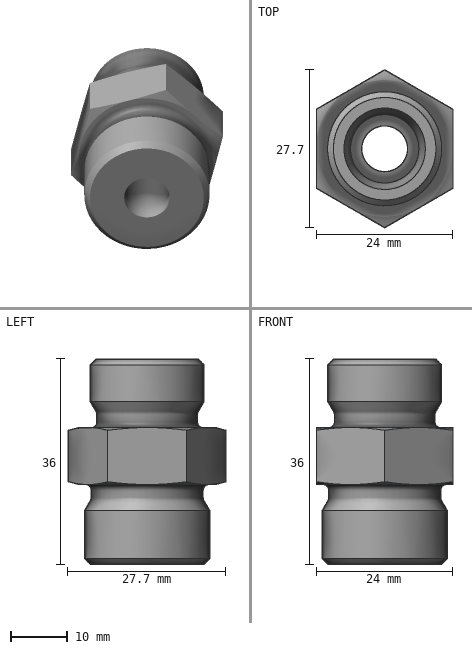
import cadquery as cq
import math

across_flats = 24.0
hex_bottom = 14.0
hex_top = 24.0
hex_chamfer_angle = 15
hex_half_sector = 30

total_height = 36
end_chamfer = 1.0
lower_diameter = 22.0
lower_groove_diameter = 19.7
lower_shoulder = 9.45
upper_diameter = 20.0
upper_groove_diameter = 17.7
upper_shoulder = 28.6
relief_half_angle = 30
relief_blend_radius = 1.0

lower_fillet = 1.0
upper_fillet = 0.9

bore_diameter = 8.0
seat_diameter = 12.0
mouth_diameter = 14.3
seat_half_angle = 12
seat_depth = 7.5


def make_hexagon():
    """Hexagon with flats facing X and its corners turned off at both ends."""
    corner_radius = across_flats / 2 / math.cos(math.radians(hex_half_sector))
    flat_radius = across_flats / 2
    drop = (corner_radius - flat_radius) * math.tan(math.radians(hex_chamfer_angle))
    prism = (
        cq.Workplane("XY")
        .workplane(offset=hex_bottom)
        .polygon(6, 2 * corner_radius)
        .extrude(hex_top - hex_bottom)
        .rotate((0, 0, 0), (0, 0, 1), hex_half_sector)
    )
    turned_envelope = (
        cq.Workplane("XZ")
        .moveTo(0, hex_bottom)
        .lineTo(flat_radius, hex_bottom)
        .lineTo(corner_radius, hex_bottom + drop)
        .lineTo(corner_radius, hex_top - drop)
        .lineTo(flat_radius, hex_top)
        .lineTo(0, hex_top)
        .close()
        .revolve(360, (0, 0, 0), (0, 1, 0))
    )
    return prism.intersect(turned_envelope)


def make_end(face, toward_hex, hex_face, shoulder, diameter, groove_diameter, fillet):
    """Turned end; toward_hex is +1 or -1 along Z from its outer face to the hexagon."""
    radius = diameter / 2
    groove_radius = groove_diameter / 2
    diagonal = fillet * (1 - math.sqrt(0.5))
    slope = math.radians(relief_half_angle)

    groove_start = shoulder + toward_hex * (radius - groove_radius) / math.tan(slope)
    tangent_length = relief_blend_radius * math.tan(slope / 2)
    blend_start_radius = groove_radius + tangent_length * math.sin(slope)
    blend_start_z = groove_start - toward_hex * tangent_length * math.cos(slope)
    blend_end_z = groove_start + toward_hex * tangent_length
    blend_middle_radius = groove_radius + relief_blend_radius * (1 - math.cos(slope / 2))
    blend_middle_z = blend_end_z - toward_hex * relief_blend_radius * math.sin(slope / 2)

    return (
        cq.Workplane("XZ")
        .moveTo(0, face)
        .lineTo(radius - end_chamfer, face)
        .lineTo(radius, face + toward_hex * end_chamfer)
        .lineTo(radius, shoulder)
        .lineTo(blend_start_radius, blend_start_z)
        .threePointArc((blend_middle_radius, blend_middle_z), (groove_radius, blend_end_z))
        .lineTo(groove_radius, hex_face - toward_hex * fillet)
        .threePointArc(
            (groove_radius + diagonal, hex_face - toward_hex * diagonal),
            (groove_radius + fillet, hex_face),
        )
        .lineTo(0, hex_face)
        .close()
        .revolve(360, (0, 0, 0), (0, 1, 0))
    )


def make_bore():
    """Through bore opening into a stepped tube seat with a conical mouth."""
    seat_radius = seat_diameter / 2
    mouth_radius = mouth_diameter / 2
    cone_depth = (mouth_radius - seat_radius) / math.tan(math.radians(seat_half_angle))
    return (
        cq.Workplane("XZ")
        .lineTo(bore_diameter / 2, 0)
        .lineTo(bore_diameter / 2, total_height - seat_depth)
        .lineTo(seat_radius, total_height - seat_depth)
        .lineTo(seat_radius, total_height - cone_depth)
        .lineTo(mouth_radius, total_height)
        .lineTo(0, total_height)
        .close()
        .revolve(360, (0, 0, 0), (0, 1, 0))
    )


lower_end = make_end(
    0, 1, hex_bottom, lower_shoulder,
    lower_diameter, lower_groove_diameter, lower_fillet,
)
upper_end = make_end(
    total_height, -1, hex_top, upper_shoulder,
    upper_diameter, upper_groove_diameter, upper_fillet,
)
result = make_hexagon().union(lower_end).union(upper_end).cut(make_bore())